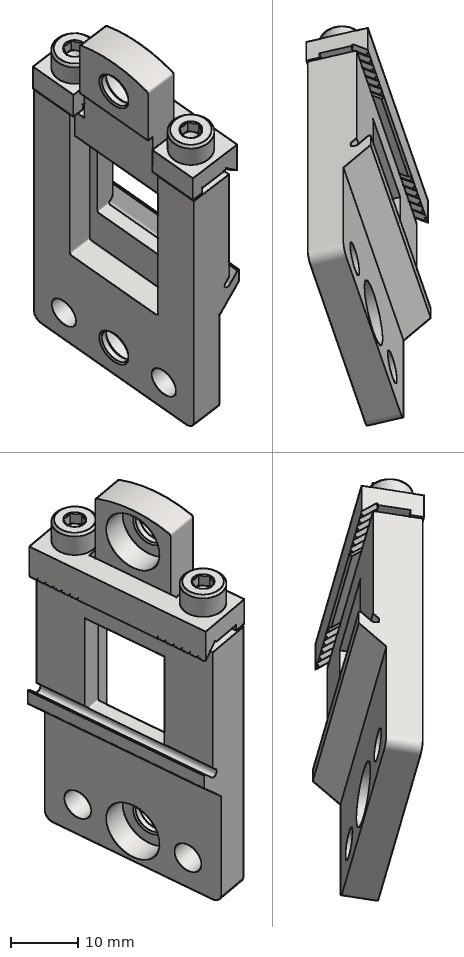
import cadquery as cq
import math

WIDTH = 33.0
HEIGHT = 67.8
THIN_DEPTH = 5.55
ARM_DEPTH = 7.6
ARM_TOP = 49.9
FOOT_CORNER_RADIUS = 1.6

LUG_WIDTH = 14.1
LUG_CROWN_RADIUS = 21.0
LUG_CORNER_RADIUS = 0.5
WEB_BOTTOM = 44.55
WEB_STEP_TOP = 56.15
WEB_RECESS = 1.0

POCKET_WIDTH = 18.2
POCKET_BOTTOM = 19.4
POCKET_DEPTH = 4.3
POCKET_RADIUS = 0.5
WINDOW_WIDTH = 14.9
WINDOW_BOTTOM = 26.5
WINDOW_RADIUS = 0.35

EYE_DIAMETER = 5.5
EYE_CHAMFER = 0.3
EYE_WALL = 1.5
EYE_COUNTERBORE_DIAMETER = 10.0
EYE_END_DISTANCE = 6.1
FOOT_EYE_HEIGHT = 5.75
SIDE_HOLE_DIAMETER = 5.0
SIDE_HOLE_OFFSET = 10.3

HOOK_BACK = 9.75
HOOK_TIP_HEIGHT = 27.45
HOOK_HEEL_HEIGHT = 24.95
GROOVE_RADIUS = 0.7
GROOVE_Y = 7.3
GROOVE_Z = 26.3

CLAMP_FRONT = -0.2
CLAMP_BACK = 9.35
CLAMP_TOP = 55.05
CLAMP_UNDERSIDE = 51.4
LIP_BOTTOM = 50.3
LIP_BACK = 1.8
CLAMP_SLOT_WIDTH = 16.3
CLAW_ROOT_Y = 6.7
CLAW_TIP_HEIGHT = 49.2
TOOTH_COUNT = 6
TOOTH_DEPTH = 0.5

SCREW_OFFSET = 12.0
SCREW_Y = 4.1
SHANK_DIAMETER = 4.0
SHANK_LENGTH = 16.0
CLEARANCE_DIAMETER = 4.5
HEAD_DIAMETER = 7.0
HEAD_HEIGHT = 4.0
HEAD_CHAMFER = 0.4
SOCKET_FLATS = 3.0
SOCKET_DEPTH = 2.05

COS_45 = math.sqrt(0.5)
SCREW_XS = (-SCREW_OFFSET, SCREW_OFFSET)


def centred_box(width, y_min, y_max, z_min, z_max):
    """Box that straddles the symmetry plane."""
    block = cq.Workplane("XY").box(width, y_max - y_min, z_max - z_min, centered=False)
    return block.translate((-width / 2, y_min, z_min))


def full_width(profile):
    """Extrude a closed YZ profile across the whole width."""
    return profile.extrude(WIDTH / 2, both=True)


def vertical_cylinder(x, diameter, z_min, z_max):
    return (
        cq.Workplane("XY", origin=(x, SCREW_Y, z_min))
        .circle(diameter / 2)
        .extrude(z_max - z_min)
    )


def frame_blank():
    """Side profile of foot, hook and arms across the full width."""
    reach = GROOVE_RADIUS * COS_45
    wall_mouth_z = GROOVE_Z + reach + ARM_DEPTH - (GROOVE_Y - reach)
    tip_y = GROOVE_Y + reach + HOOK_TIP_HEIGHT - (GROOVE_Z - reach)
    profile = (
        cq.Workplane("YZ")
        .moveTo(0, 0)
        .lineTo(THIN_DEPTH, 0)
        .lineTo(THIN_DEPTH, HOOK_HEEL_HEIGHT - (HOOK_BACK - THIN_DEPTH))
        .lineTo(HOOK_BACK, HOOK_HEEL_HEIGHT)
        .lineTo(HOOK_BACK, HOOK_TIP_HEIGHT)
        .lineTo(tip_y, HOOK_TIP_HEIGHT)
        .lineTo(GROOVE_Y + reach, GROOVE_Z - reach)
        .threePointArc((GROOVE_Y - reach, GROOVE_Z - reach), (GROOVE_Y - reach, GROOVE_Z + reach))
        .lineTo(ARM_DEPTH, wall_mouth_z)
        .lineTo(ARM_DEPTH, ARM_TOP)
        .lineTo(0, ARM_TOP)
        .close()
    )
    blank = full_width(profile)
    return blank.edges("|Y and <Z").fillet(FOOT_CORNER_RADIUS)


def lug():
    """Upright tongue with a crowned top, standing on the web between the arms."""
    half = LUG_WIDTH / 2
    shoulder = HEIGHT - LUG_CROWN_RADIUS + math.sqrt(LUG_CROWN_RADIUS**2 - half**2)
    return (
        cq.Workplane("XZ")
        .moveTo(-half, WEB_BOTTOM)
        .lineTo(half, WEB_BOTTOM)
        .lineTo(half, shoulder)
        .threePointArc((0, HEIGHT), (-half, shoulder))
        .close()
        .extrude(-THIN_DEPTH)
        .edges("|Y and (not <Z)")
        .fillet(LUG_CORNER_RADIUS)
    )


def pocket():
    cut = centred_box(POCKET_WIDTH, 0, POCKET_DEPTH, POCKET_BOTTOM, WEB_BOTTOM)
    return cut.edges("|Y and <Z").fillet(POCKET_RADIUS)


def window():
    cut = centred_box(WINDOW_WIDTH, POCKET_DEPTH, ARM_DEPTH, WINDOW_BOTTOM, WEB_BOTTOM)
    return cut.edges("|Y and <Z").fillet(WINDOW_RADIUS)


def web_recess():
    """Shallow step in front of the web and the lower part of the lug."""
    return centred_box(POCKET_WIDTH, 0, WEB_RECESS, WEB_BOTTOM, WEB_STEP_TOP)


def cross_hole(x, z, diameter):
    return cq.Workplane("XZ", origin=(x, 0, z)).circle(diameter / 2).extrude(-THIN_DEPTH)


def eye(z):
    """Through hole, chamfered at both ends, with a wide counterbore from the back."""
    radius = EYE_DIAMETER / 2
    mouth = radius + EYE_CHAMFER
    counterbore = EYE_COUNTERBORE_DIAMETER / 2
    return (
        cq.Workplane("XY")
        .polyline([
            (0, 0),
            (mouth, 0),
            (radius, EYE_CHAMFER),
            (radius, EYE_WALL - EYE_CHAMFER),
            (mouth, EYE_WALL),
            (counterbore, EYE_WALL),
            (counterbore, THIN_DEPTH),
            (0, THIN_DEPTH),
        ])
        .close()
        .revolve(360, (0, 0, 0), (0, 1, 0))
        .translate((0, 0, z))
    )


def make_frame():
    frame = frame_blank().union(lug())
    frame = frame.cut(pocket()).cut(window()).cut(web_recess())
    for z in (FOOT_EYE_HEIGHT, HEIGHT - EYE_END_DISTANCE):
        frame = frame.cut(eye(z))
    for x in (-SIDE_HOLE_OFFSET, SIDE_HOLE_OFFSET):
        frame = frame.cut(cross_hole(x, FOOT_EYE_HEIGHT, SIDE_HOLE_DIAMETER))
    for x in SCREW_XS:
        frame = frame.cut(vertical_cylinder(x, SHANK_DIAMETER, CLAMP_TOP - SHANK_LENGTH, ARM_TOP))
    return frame


def clamp_blank():
    """Bar with a front lip and a 45 degree claw along the back."""
    claw_tip_y = CLAW_ROOT_Y + CLAMP_UNDERSIDE - CLAW_TIP_HEIGHT
    profile = (
        cq.Workplane("YZ")
        .polyline([
            (CLAMP_FRONT, CLAMP_TOP),
            (CLAMP_FRONT, LIP_BOTTOM),
            (LIP_BACK, LIP_BOTTOM),
            (LIP_BACK, CLAMP_UNDERSIDE),
            (CLAW_ROOT_Y, CLAMP_UNDERSIDE),
            (claw_tip_y, CLAW_TIP_HEIGHT),
            (CLAMP_BACK, CLAW_TIP_HEIGHT),
            (CLAMP_BACK, CLAMP_TOP),
        ])
        .close()
    )
    return full_width(profile)


def tooth_gaps(x_start):
    """V cuts down the claw slope that leave a row of pointed teeth."""
    pitch = (WIDTH - WINDOW_WIDTH) / 2 / TOOTH_COUNT
    slope_length = (CLAMP_UNDERSIDE - CLAW_TIP_HEIGHT) / COS_45
    cut_length = slope_length + 2 * TOOTH_DEPTH
    plane = cq.Plane(
        origin=(x_start, CLAW_ROOT_Y, CLAMP_UNDERSIDE), xDir=(1, 0, 0), normal=(0, 1, -1)
    )
    outline = [(0, TOOTH_DEPTH), (0, -TOOTH_DEPTH)]
    for i in range(TOOTH_COUNT):
        outline.append(((i + 0.5) * pitch, 0))
        outline.append(((i + 1) * pitch, -TOOTH_DEPTH))
    outline.append((TOOTH_COUNT * pitch, TOOTH_DEPTH))
    return cq.Workplane(plane).polyline(outline).close().extrude(cut_length)


def make_clamp():
    clamp = clamp_blank()
    for x_start in (-WIDTH / 2, WINDOW_WIDTH / 2):
        clamp = clamp.cut(tooth_gaps(x_start))
    clamp = clamp.cut(centred_box(CLAMP_SLOT_WIDTH, CLAMP_FRONT, THIN_DEPTH, LIP_BOTTOM, CLAMP_TOP))
    for x in SCREW_XS:
        clamp = clamp.cut(vertical_cylinder(x, CLEARANCE_DIAMETER, LIP_BOTTOM, CLAMP_TOP))
    return clamp


def socket(x):
    """Hexagon recess with flats facing X, a 45 degree conical mouth and a 120 degree drill point."""
    top = CLAMP_TOP + HEAD_HEIGHT
    flat_radius = SOCKET_FLATS / 2
    corner_radius = flat_radius / math.cos(math.radians(30))
    point_height = flat_radius / math.tan(math.radians(60))
    hexagon = (
        cq.Workplane("XY", origin=(x, SCREW_Y, top))
        .transformed(rotate=(0, 0, 30))
        .polygon(6, 2 * corner_radius)
        .extrude(-SOCKET_DEPTH)
    )
    down = cq.Vector(0, 0, -1)
    mouth_centre = cq.Vector(x, SCREW_Y, top)
    mouth = cq.Solid.makeCone(corner_radius, 0, corner_radius, mouth_centre, down)
    point_centre = cq.Vector(x, SCREW_Y, top - SOCKET_DEPTH)
    point = cq.Solid.makeCone(flat_radius, 0, point_height, point_centre, down)
    return hexagon.union(cq.Workplane(mouth)).union(cq.Workplane(point))


def make_screw(x):
    head = vertical_cylinder(x, HEAD_DIAMETER, CLAMP_TOP, CLAMP_TOP + HEAD_HEIGHT)
    head = head.faces(">Z").edges().chamfer(HEAD_CHAMFER)
    shank = vertical_cylinder(x, SHANK_DIAMETER, CLAMP_TOP - SHANK_LENGTH, CLAMP_TOP)
    return head.union(shank).cut(socket(x))


frame = make_frame()
clamp = make_clamp()
screws = [make_screw(x) for x in SCREW_XS]

result = cq.Compound.makeCompound([frame.val(), clamp.val(), *[screw.val() for screw in screws]])